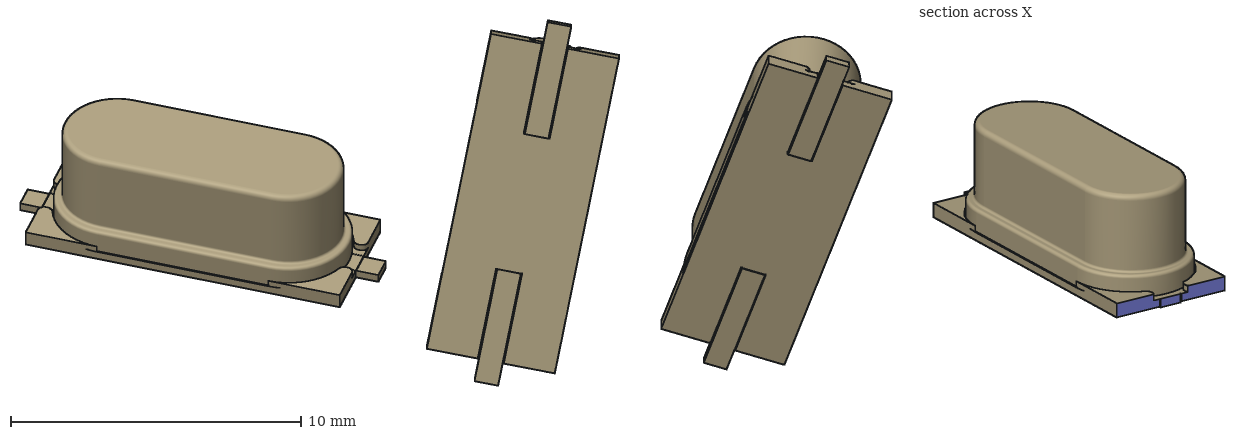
import cadquery as cq

BASE_LENGTH = 11.4
BASE_WIDTH = 4.5
BASE_BOTTOM = 0.04
BASE_TOP = 0.57
SEAT_HEIGHT = 0.34
SEAT_RADIUS = BASE_WIDTH / 2

NOTCH_WIDTH = 1.35
NOTCH_ROUND = 0.22

OVERALL_LENGTH = 13.0
LEAD_LENGTH = 4.05
LEAD_WIDTH = 0.83
LEAD_HEIGHT = 0.3
GROOVE_CLEARANCE = 0.04

END_SPACING = 6.23
FLANGE_RADIUS = 2.2
FLANGE_TOP = 1.16
FLANGE_ROUND = 0.12
CAN_RADIUS = 1.9
CAN_TOP = 4.0
CAN_ROUND = 0.2
CAN_FOOT_ROUND = 0.09


def rounded_bar(radius, bottom, top):
    """Upright bar with semicircular ends along X."""
    return (
        cq.Workplane("XY")
        .workplane(offset=bottom)
        .slot2D(END_SPACING + 2 * radius, 2 * radius)
        .extrude(top - bottom)
    )


def block(length, width, bottom, top, center_x=0):
    """Rectangular block centred on Y = 0."""
    return (
        cq.Workplane("XY")
        .workplane(offset=bottom)
        .center(center_x, 0)
        .rect(length, width)
        .extrude(top - bottom)
    )


def make_base():
    """Plate with a pocket for the can and a notch from the pocket to each end."""
    plate = block(BASE_LENGTH, BASE_WIDTH, BASE_BOTTOM, BASE_TOP)
    pocket = rounded_bar(SEAT_RADIUS, SEAT_HEIGHT, BASE_TOP)
    notches = block(BASE_LENGTH, NOTCH_WIDTH, SEAT_HEIGHT, BASE_TOP)
    plate = plate.cut(pocket).cut(notches)

    half_notch = NOTCH_WIDTH / 2
    tip_zone = cq.selectors.BoxSelector(
        (-BASE_LENGTH, -half_notch - NOTCH_ROUND, SEAT_HEIGHT),
        (BASE_LENGTH, half_notch + NOTCH_ROUND, BASE_TOP),
    )
    return plate.edges("|Z").edges(tip_zone).fillet(NOTCH_ROUND)


def make_can():
    """Can and flange, resting on the pocket floor."""
    flange = rounded_bar(FLANGE_RADIUS, SEAT_HEIGHT, FLANGE_TOP)
    flange = flange.faces(">Z").edges().fillet(FLANGE_ROUND)
    can = rounded_bar(CAN_RADIUS, SEAT_HEIGHT, CAN_TOP)
    can = can.faces(">Z").edges().fillet(CAN_ROUND)

    body = flange.union(can)

    foot_reach = CAN_RADIUS + CAN_FOOT_ROUND / 2
    foot_zone = cq.selectors.BoxSelector(
        (-END_SPACING / 2 - foot_reach, -foot_reach, FLANGE_TOP - CAN_FOOT_ROUND / 2),
        (END_SPACING / 2 + foot_reach, foot_reach, FLANGE_TOP + CAN_FOOT_ROUND / 2),
    )
    return body.edges(foot_zone).fillet(CAN_FOOT_ROUND)


def add_lead(body, side):
    """Lay a lead in its groove at the end given by side (-1 or 1)."""
    center_x = side * (OVERALL_LENGTH - LEAD_LENGTH) / 2
    groove_width = LEAD_WIDTH + 2 * GROOVE_CLEARANCE
    groove = block(LEAD_LENGTH, groove_width, BASE_BOTTOM, LEAD_HEIGHT, center_x)
    lead = block(LEAD_LENGTH, LEAD_WIDTH, 0, LEAD_HEIGHT, center_x)
    return body.cut(groove).union(lead)


result = make_base()
for side in (-1, 1):
    result = add_lead(result, side)
result = result.union(make_can())